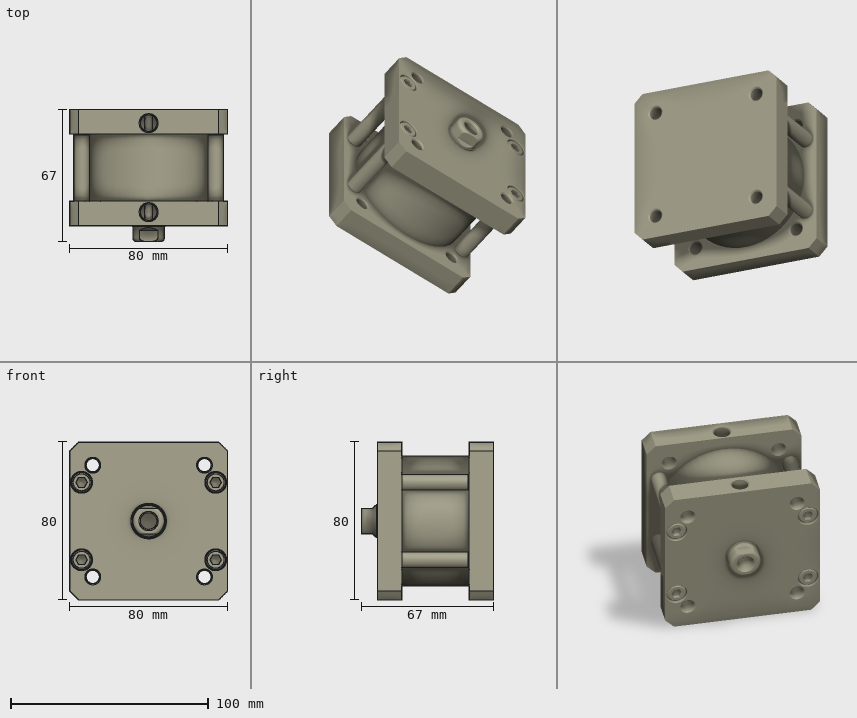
import cadquery as cq
import math

plate_size = 80.0
plate_thickness = 12.5
plate_corner_chamfer = 4.6
barrel_length = 34.0
stack_length = barrel_length + 2 * plate_thickness
front_inner_y = plate_thickness
back_inner_y = stack_length - plate_thickness

mount_circle_radius = 40.0
mount_offset = mount_circle_radius * math.cos(math.radians(45))
mount_hole_diameter = 6.6
mount_mouth_diameter = 8.0

port_diameter = 8.4
port_mouth_diameter = 9.6
port_depth = 12.0
port_inward_shift = 0.7
port_tip_angle = 118.0
port_bar_diameter = 4.0
port_bar_length = port_diameter

barrel_diameter = 65.9
barrel_bore = 63.0

rod_diameter = 16.0
rod_shaft_diameter = 16.6
rod_shaft_protrusion = 0.3
rod_protrusion = 8.0
rod_end_round_length = 2.0
rod_end_round_inset = 1.7
rod_flat_width = 13.0
rod_flat_length = 5.6
rod_hole_diameter = 8.4
rod_hole_mouth_diameter = 9.8
rod_hole_depth = 14.4
rod_hole_tip_angle = 160.0
rod_recess_diameter = 17.7
rod_recess_depth = 0.4
rod_recess_mouth_diameter = 18.0

bolt_circle_radius = 39.2
bolt_x = bolt_circle_radius * math.cos(math.radians(30))
bolt_z = bolt_circle_radius * math.sin(math.radians(30))
bolt_positions = [(sx * bolt_x, sz * bolt_z) for sx in (-1, 1) for sz in (-1, 1)]
shank_diameter = 8.0
shank_end_chamfer = 0.5
head_diameter = 10.0
head_face_diameter = 8.6
head_height = 6.0
head_recess = 0.3
counterbore_diameter = 10.5
counterbore_mouth_diameter = 11.0
counterbore_depth = head_recess + head_height
thread_diameter = 6.0
thread_length = 10.0
socket_width = 5.0
socket_depth = 2.4
socket_tip_angle = 118.0


def cone_height(diameter, tip_angle):
    """Height of a drill point of the given diameter."""
    return diameter / 2 / math.tan(math.radians(tip_angle / 2))


def revolve_about_y(points):
    """Solid of revolution from (radius, y) points, closed along the Y axis."""
    return cq.Workplane("XY").polyline(points).close().revolve(360, (0, 0), (0, 1))


def bore(diameter, y_start, y_end):
    """Cylinder about the Y axis."""
    return revolve_about_y([(0, y_start), (diameter / 2, y_start), (diameter / 2, y_end), (0, y_end)])


def mouth_chamfer(hole_diameter, mouth_diameter, y, direction):
    """45-degree countersink whose wide end lies at y and which narrows along direction (+1 or -1)."""
    depth = (mouth_diameter - hole_diameter) / 2
    y_end = y + direction * depth
    return revolve_about_y([(0, y), (mouth_diameter / 2, y), (hole_diameter / 2, y_end), (0, y_end)])


def blind_hole(diameter, mouth_diameter, depth, tip_angle):
    """Chamfered blind hole starting at the origin, running along +Y and ending in a drill point."""
    mouth_depth = (mouth_diameter - diameter) / 2
    return revolve_about_y([
        (0, 0),
        (mouth_diameter / 2, 0),
        (diameter / 2, mouth_depth),
        (diameter / 2, depth),
        (0, depth + cone_height(diameter, tip_angle)),
    ])


def make_port_plate(y_start, y_port):
    """Square plate with mounting holes and an air port at y_port in its top edge."""
    y_end = y_start + plate_thickness
    plate = (
        cq.Workplane("XY")
        .box(plate_size, plate_thickness, plate_size)
        .translate((0, y_start + plate_thickness / 2, 0))
        .edges("|Y")
        .chamfer(plate_corner_chamfer)
    )
    mount_hole = (
        bore(mount_hole_diameter, y_start, y_end)
        .union(mouth_chamfer(mount_hole_diameter, mount_mouth_diameter, y_start, 1))
        .union(mouth_chamfer(mount_hole_diameter, mount_mouth_diameter, y_end, -1))
    )
    for sx in (-1, 1):
        for sz in (-1, 1):
            plate = plate.cut(mount_hole.translate((sx * mount_offset, 0, sz * mount_offset)))
    port = blind_hole(port_diameter, port_mouth_diameter, port_depth, port_tip_angle)
    port = port.rotate((0, 0, 0), (1, 0, 0), -90).translate((0, y_port, plate_size / 2))
    bar = bore(port_bar_diameter, y_port - port_bar_length / 2, y_port + port_bar_length / 2)
    bar = bar.translate((0, 0, plate_size / 2 - port_depth))
    return plate.cut(port).union(bar)


def make_front_plate():
    plate = make_port_plate(0, plate_thickness / 2 + port_inward_shift)
    plate = plate.cut(bore(rod_shaft_diameter, 0, front_inner_y))
    plate = plate.cut(bore(rod_recess_diameter, 0, rod_recess_depth))
    plate = plate.cut(mouth_chamfer(rod_recess_diameter, rod_recess_mouth_diameter, 0, 1))
    bolt_hole = (
        bore(shank_diameter, 0, front_inner_y)
        .union(bore(counterbore_diameter, 0, counterbore_depth))
        .union(mouth_chamfer(counterbore_diameter, counterbore_mouth_diameter, 0, 1))
    )
    for x, z in bolt_positions:
        plate = plate.cut(bolt_hole.translate((x, 0, z)))
    return plate


def make_back_plate():
    plate = make_port_plate(back_inner_y, back_inner_y + plate_thickness / 2 - port_inward_shift)
    bolt_hole = bore(thread_diameter, back_inner_y, back_inner_y + thread_length)
    for x, z in bolt_positions:
        plate = plate.cut(bolt_hole.translate((x, 0, z)))
    return plate


def make_barrel():
    outside = bore(barrel_diameter, front_inner_y, back_inner_y)
    return outside.cut(bore(barrel_bore, front_inner_y, back_inner_y))


def make_rod():
    radius = rod_diameter / 2
    shaft_radius = rod_shaft_diameter / 2
    rod = (
        cq.Workplane("XY")
        .moveTo(0, back_inner_y)
        .lineTo(shaft_radius, back_inner_y)
        .lineTo(shaft_radius, -rod_shaft_protrusion)
        .lineTo(radius, -rod_shaft_protrusion)
        .lineTo(radius, rod_end_round_length - rod_protrusion)
        .tangentArcPoint((radius - rod_end_round_inset, -rod_protrusion), relative=False)
        .lineTo(0, -rod_protrusion)
        .close()
        .revolve(360, (0, 0), (0, 1))
    )
    flat_z = rod_flat_width / 2
    runout = rod_diameter - flat_z
    flat_end_y = rod_flat_length - rod_protrusion
    flat = (
        cq.Workplane("YZ")
        .moveTo(-rod_protrusion, flat_z)
        .lineTo(flat_end_y, flat_z)
        .lineTo(flat_end_y + runout, rod_diameter)
        .lineTo(-rod_protrusion, rod_diameter)
        .close()
        .extrude(rod_diameter, both=True)
    )
    rod = rod.cut(flat).cut(flat.mirror("XY"))
    hole = blind_hole(rod_hole_diameter, rod_hole_mouth_diameter, rod_hole_depth, rod_hole_tip_angle)
    return rod.cut(hole.translate((0, -rod_protrusion, 0)))


def make_tie_bolt(x, z):
    """Socket-head tie bolt whose shank stops at the back plate and whose thread enters it."""
    head_chamfer = (head_diameter - head_face_diameter) / 2
    bolt = revolve_about_y([
        (0, head_recess),
        (head_face_diameter / 2, head_recess),
        (head_diameter / 2, head_recess + head_chamfer),
        (head_diameter / 2, counterbore_depth),
        (shank_diameter / 2, counterbore_depth),
        (shank_diameter / 2, back_inner_y - shank_end_chamfer),
        (shank_diameter / 2 - shank_end_chamfer, back_inner_y),
        (thread_diameter / 2, back_inner_y),
        (thread_diameter / 2, back_inner_y + thread_length),
        (0, back_inner_y + thread_length),
    ])
    socket_corner_diameter = socket_width / math.cos(math.radians(30))
    tip_depth = cone_height(socket_corner_diameter, socket_tip_angle)
    hexagon = (
        cq.Workplane("XZ", origin=(0, head_recess, 0))
        .polygon(6, socket_corner_diameter)
        .extrude(-socket_depth - tip_depth)
    )
    pointed_bottom = revolve_about_y([
        (0, head_recess),
        (socket_corner_diameter, head_recess),
        (socket_corner_diameter, head_recess + socket_depth),
        (socket_corner_diameter / 2, head_recess + socket_depth),
        (0, head_recess + socket_depth + tip_depth),
    ])
    socket = hexagon.intersect(pointed_bottom)
    return bolt.cut(socket).translate((x, 0, z))


front_plate = make_front_plate()
back_plate = make_back_plate()
barrel = make_barrel()
rod = make_rod()
tie_bolts = [make_tie_bolt(x, z) for x, z in bolt_positions]

result = cq.Compound.makeCompound([
    front_plate.val(),
    back_plate.val(),
    barrel.val(),
    rod.val(),
    *[bolt.val() for bolt in tie_bolts],
])